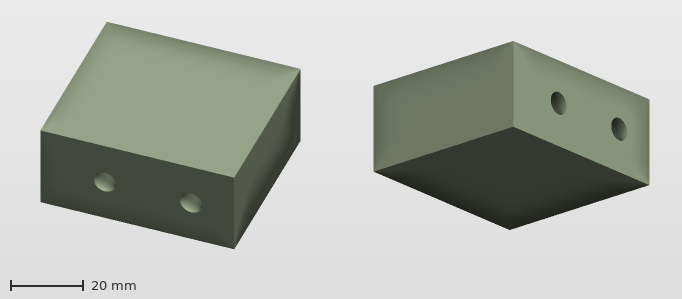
import cadquery as cq

LENGTH = 57.15
DEPTH = 50.8
HEIGHT = 25.4

HOLE_DIAMETER = 6.6
HOLE_SPACING = 25.4
LEFT_HOLE_OFFSET = 19.05

left_hole_x = -LENGTH / 2 + LEFT_HOLE_OFFSET
hole_centres = [(left_hole_x, 0), (left_hole_x + HOLE_SPACING, 0)]

block = cq.Workplane("XY").box(LENGTH, DEPTH, HEIGHT)

result = block.faces("<Y").workplane(origin=(0, 0, 0)).pushPoints(hole_centres).hole(HOLE_DIAMETER)